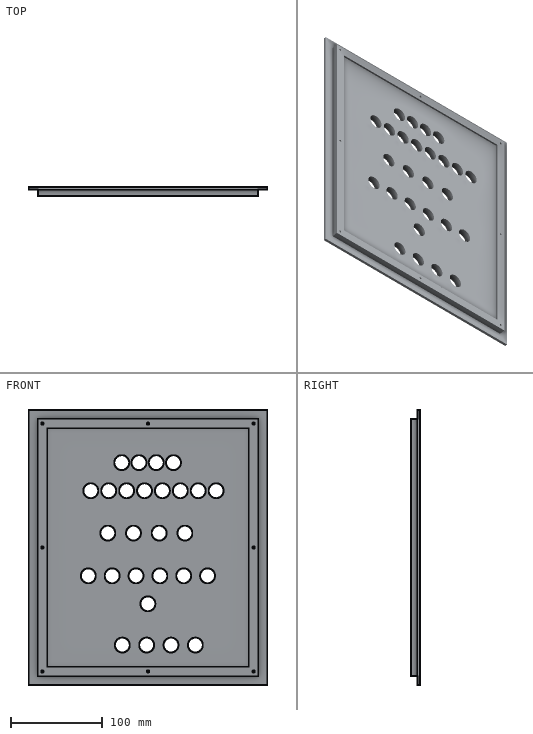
import cadquery as cq

plate_width = 260.0
plate_height = 300.0
plate_thickness = 3.0
total_depth = 10.0

frame_margin = 10.0
frame_rim = 10.0
frame_width = plate_width - 2 * frame_margin
frame_height = plate_height - 2 * frame_margin
recess_width = frame_width - 2 * frame_rim
recess_height = frame_height - 2 * frame_rim
recess_depth = 2.0

screw_diameter = 2.5
screw_depth = 5.0
screw_inset = frame_rim / 2
screw_x = frame_width / 2 - screw_inset
screw_z = frame_height / 2 - screw_inset

button_diameter = 16.0
button_rows = [
    (92.43, -28.6, 18.78, 4),
    (61.83, -62.3, 19.5, 8),
    (15.7, -43.8, 28.0, 4),
    (-30.85, -65.0, 25.97, 6),
    (-61.3, -0.1, 0.0, 1),
    (-106.25, -28.0, 26.53, 4),
]

front_y = 0.0
plate_front_y = total_depth - plate_thickness


def block(width, height, y_start, depth):
    """Box centred on the Y axis, reaching from y_start towards +Y."""
    return cq.Workplane("XY").box(width, depth, height).translate((0, y_start + depth / 2, 0))


def drills(points, diameter, depth):
    """Cylinders at the (X, Z) points, reaching from the front face towards +Y."""
    plane = cq.Workplane("XZ", origin=(0, front_y, 0))
    return plane.pushPoints(points).circle(diameter / 2).extrude(-depth)


def screw_points():
    """Corners and side middles of the frame rim."""
    steps = (-1, 0, 1)
    return [(i * screw_x, k * screw_z) for i in steps for k in steps if (i, k) != (0, 0)]


def button_points():
    """Centres of all holes, row by row."""
    return [
        (first_x + i * pitch, z)
        for z, first_x, pitch, count in button_rows
        for i in range(count)
    ]


plate = block(plate_width, plate_height, plate_front_y, plate_thickness)
frame = block(frame_width, frame_height, front_y, plate_front_y)
recess = block(recess_width, recess_height, front_y, recess_depth)

result = (
    plate.union(frame)
    .cut(recess)
    .cut(drills(screw_points(), screw_diameter, screw_depth))
    .cut(drills(button_points(), button_diameter, total_depth))
)